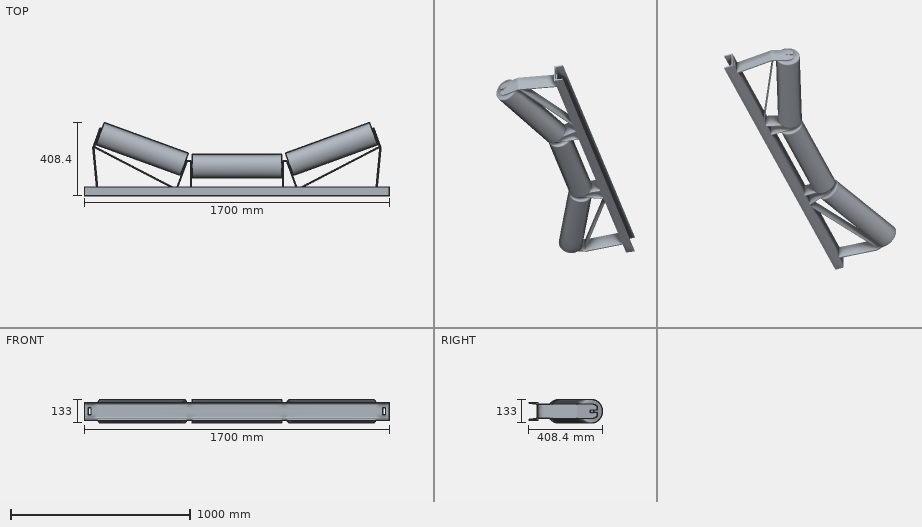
import cadquery as cq
import math


channel_length = 1700.0
channel_height = 100.0
channel_depth = 50.0
web_thickness = 6.0
flange_thickness = 8.5
flange_slope = 0.08
root_radius = 8.5
toe_radius = 4.5
slot_width = 14.0
slot_height = 37.0
slot_x = 821.0

roller_length = 500.0
roller_diameter = 133.0
roller_edge_radius = 5.0
shaft_shoulder = 4.0
shaft_diameter = 24.0
shaft_tip_width = 14.0
trough_angle = 20.0
middle_roller_y = 117.0
side_roller_x = 527.0
side_roller_y = 211.82

support_width = 80.0
bracket_thickness = 5.0
bracket_bend_radius = 5.0
bracket_top_y = 146.0
post_thickness = 8.0
post_above_axis = 30.0
post_fold_below_axis = 89.0
post_foot_x = 783.0
post_bend_radius = 12.0
brace_width = 56.0
brace_thickness = 5.0
brace_foot_x = 370.0
brace_angle = 27.4
brace_length = 550.0

support_offset = roller_length / 2 + shaft_shoulder
shaft_length = 2 * (support_offset + bracket_thickness)
overshoot = 20.0
trim_depth = 5 * overshoot

axis_x = math.cos(math.radians(trough_angle))
axis_y = math.sin(math.radians(trough_angle))


def side_point(along, above):
    """Point in XY at a distance along the right roller's axis and above it."""
    return (
        side_roller_x + along * axis_x - above * axis_y,
        side_roller_y + along * axis_y + above * axis_x,
    )


def point_at_y(start, end, y):
    """Point at height y on the line through two points."""
    share = (y - start[1]) / (end[1] - start[1])
    return (start[0] + share * (end[0] - start[0]), y)


def place_on_side(body):
    """Move a body from the origin, lying along X, to the right roller's place."""
    return body.rotate((0, 0, 0), (0, 0, 1), trough_angle).translate((side_roller_x, side_roller_y, 0))


def bent_strip(points, thickness, width):
    """Flat bar bent along points in XY, its thickness to the left of the path, centred on Z = 0."""
    directions = []
    for start, end in zip(points, points[1:]):
        length = math.dist(start, end)
        directions.append(((end[0] - start[0]) / length, (end[1] - start[1]) / length))
    before = [directions[0]] + directions
    after = directions + [directions[-1]]
    inner = []
    for point, d0, d1 in zip(points, before, after):
        mitre = thickness / (1 + d0[0] * d1[0] + d0[1] * d1[1])
        inner.append((point[0] - mitre * (d0[1] + d1[1]), point[1] + mitre * (d0[0] + d1[0])))
    outline = points + inner[::-1]
    return cq.Workplane("XY", origin=(0, 0, -width / 2)).polyline(outline).close().extrude(width)


def trim_at_web(body):
    """Remove what reaches past the back of the channel web."""
    below = cq.Workplane("XZ").rect(channel_length, channel_height).extrude(trim_depth)
    return body.cut(below)


def round_edge_at(body, point, radius):
    """Fillet the edge along Z nearest to a point in XY."""
    edge = cq.selectors.NearestToPointSelector((point[0], point[1], 0))
    return body.edges("|Z").edges(edge).fillet(radius)


def make_channel():
    """Rolled channel with tapered flanges toward -Y and a mounting slot near each end of its web."""
    mid_flange_y = -channel_depth / 2
    half = channel_height / 2

    def inner_z(y):
        return half - flange_thickness - flange_slope * (y - mid_flange_y)

    outline = [
        (0, -half),
        (0, half),
        (-channel_depth, half),
        (-channel_depth, inner_z(-channel_depth)),
        (-web_thickness, inner_z(-web_thickness)),
        (-web_thickness, -inner_z(-web_thickness)),
        (-channel_depth, -inner_z(-channel_depth)),
        (-channel_depth, -half),
    ]
    start = (-channel_length / 2, 0, 0)
    channel = cq.Workplane("YZ", origin=start).polyline(outline).close().extrude(channel_length)
    root = inner_z(-web_thickness)
    toe = inner_z(-channel_depth)
    for side in (-1, 1):
        root_edge = cq.selectors.NearestToPointSelector((0, -web_thickness, side * root))
        channel = channel.edges("|X").edges(root_edge).fillet(root_radius)
        toe_edge = cq.selectors.NearestToPointSelector((0, -channel_depth, side * toe))
        channel = channel.edges("|X").edges(toe_edge).fillet(toe_radius)
    slots = (
        cq.Workplane("XZ")
        .pushPoints([(-slot_x, 0), (slot_x, 0)])
        .rect(slot_width, slot_height)
        .extrude(web_thickness)
    )
    return channel.cut(slots)


def cylinder(diameter, length):
    """Cylinder along X, centred on the origin."""
    return cq.Workplane("YZ", origin=(-length / 2, 0, 0)).circle(diameter / 2).extrude(length)


def make_shaft_tips():
    """Round-edged flat bar along X whose two ends stand in the supports."""
    start = (-shaft_length / 2, 0, 0)
    return cq.Workplane("YZ", origin=start).slot2D(shaft_diameter, shaft_tip_width).extrude(shaft_length)


def make_roller():
    """Roller with its shaft, along X and centred on the origin."""
    shell = cylinder(roller_diameter, roller_length).edges("%CIRCLE").fillet(roller_edge_radius)
    shaft = cylinder(shaft_diameter, 2 * support_offset)
    return shell.union(shaft).union(make_shaft_tips())


def make_bracket():
    """Inverted U between the middle roller and the right roller."""
    low = side_point(-support_offset, -overshoot)
    high = side_point(-support_offset, overshoot)
    path = [
        point_at_y(low, high, -overshoot),
        point_at_y(low, high, bracket_top_y),
        (support_offset, bracket_top_y),
        (support_offset, -overshoot),
    ]
    bracket = bent_strip(path, bracket_thickness, support_width)
    for bend in path[1:-1]:
        bracket = round_edge_at(bracket, bend, bracket_bend_radius)
    bracket = trim_at_web(bracket)
    bracket = bracket.cut(make_shaft_tips().translate((0, middle_roller_y, 0)))
    return bracket.cut(place_on_side(make_shaft_tips()))


def make_post():
    """Bent bar that carries the outer end of the right roller."""
    face = support_offset + post_thickness
    fold = side_point(face, -post_fold_below_axis)
    path = [
        point_at_y(fold, (post_foot_x, 0), -overshoot),
        fold,
        side_point(face, post_above_axis),
    ]
    post = bent_strip(path, post_thickness, support_width)
    post = round_edge_at(post, fold, post_bend_radius)
    corners = (
        cq.Workplane("YZ")
        .rect(2 * support_width, 2 * support_width)
        .circle(support_width / 2)
        .extrude(2 * support_offset)
        .intersect(cq.Workplane("XZ").rect(4 * support_offset, 2 * support_width).extrude(-support_width))
    )
    slot_bottom = -shaft_diameter / 2
    slot_length = shaft_diameter + 2 * post_above_axis
    slot = (
        cq.Workplane("YZ")
        .center(slot_bottom + slot_length / 2, 0)
        .slot2D(slot_length, shaft_tip_width)
        .extrude(2 * support_offset)
    )
    return trim_at_web(post).cut(place_on_side(corners)).cut(place_on_side(slot))


def make_brace(post):
    """Slanting flat bar from the channel to the post's fold."""
    slope = math.radians(brace_angle)
    path = [
        (brace_foot_x - overshoot * math.cos(slope), -overshoot * math.sin(slope)),
        (brace_foot_x + brace_length * math.cos(slope), brace_length * math.sin(slope)),
    ]
    brace = trim_at_web(bent_strip(path, brace_thickness, brace_width)).cut(post)
    return brace.solids("<X")


channel = make_channel()
middle_roller = make_roller().translate((0, middle_roller_y, 0))
right_roller = place_on_side(make_roller())
bracket = make_bracket()
post = make_post()
brace = make_brace(post)

bodies = [channel.val(), middle_roller.val()]
for body in (right_roller, bracket, post, brace):
    bodies += [body.val(), body.mirror("YZ").val()]

result = cq.Compound.makeCompound(bodies)